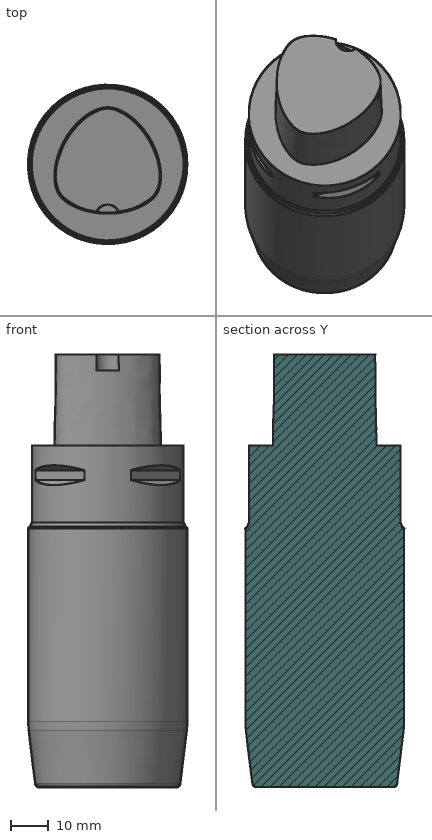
import cadquery as cq
import math

total_height = 114.0
body_radius = 42.0 / 2
flange_radius = 40.0 / 2
shank_height = 23.9
flange_top = total_height - shank_height

step_cone_top = 69.8
step_z = 68.7
step_chamfer = 0.6
body_top_radius = body_radius - step_chamfer
body_chamfer_z = step_z - step_chamfer

blend_top = 17.3
taper_angle = math.radians(7.0)
blend_radius = 19.4
nose_corner_radius = 1.3

shank_base_radius = 14.0
shank_top_radius = 13.7
lobe_offset = 1.0

notch_radius = 3.2
notch_center_y = -13.8
notch_depth = 4.2

groove_count = 4
groove_z = 82.2
groove_floor_distance = 17.8
groove_floor_height = 2.5
groove_mouth_height = 5.2


def make_body():
    """Revolve the nose, body and flange about Z."""
    blend_center_r = body_radius - blend_radius

    def blend_point(angle):
        return (
            blend_center_r + blend_radius * math.cos(angle),
            blend_top - blend_radius * math.sin(angle),
        )

    taper_start = blend_point(taper_angle)
    taper_end_radius = taper_start[0] - taper_start[1] * math.tan(taper_angle)
    return (
        cq.Workplane("XZ")
        .lineTo(taper_end_radius, 0)
        .lineTo(*taper_start)
        .threePointArc(blend_point(taper_angle / 2), (body_radius, blend_top))
        .lineTo(body_radius, body_chamfer_z)
        .lineTo(body_top_radius, step_z)
        .lineTo(flange_radius, step_cone_top)
        .lineTo(flange_radius, flange_top)
        .lineTo(0, flange_top)
        .close()
        .revolve(360, (0, 0), (0, 1))
        .faces("<Z")
        .edges()
        .fillet(nose_corner_radius)
    )


def lobed_point(mean_radius, angle):
    """Point on a three-lobed curve of constant width, with one lobe toward +Y."""
    reach = mean_radius + lobe_offset * math.cos(3 * angle)
    slope = -3 * lobe_offset * math.sin(3 * angle)
    along = reach * math.cos(angle) - slope * math.sin(angle)
    across = reach * math.sin(angle) + slope * math.cos(angle)
    return (-across, along)


def make_shank():
    """Loft the lobed section from the flange face to the top."""
    points_per_lobe = 12
    point_count = 3 * points_per_lobe
    angles = [2 * math.pi * i / point_count for i in range(point_count)]
    return (
        cq.Workplane("XY", origin=(0, 0, flange_top))
        .spline([lobed_point(shank_base_radius, a) for a in angles], periodic=True)
        .close()
        .workplane(offset=shank_height)
        .spline([lobed_point(shank_top_radius, a) for a in angles], periodic=True)
        .close()
        .loft(ruled=True)
    )


def make_notch():
    """Round driver notch in the flat side facing -Y."""
    return (
        cq.Workplane("XY", origin=(0, notch_center_y, total_height - notch_depth))
        .circle(notch_radius)
        .extrude(notch_depth)
    )


def make_groove(direction):
    """Straight groove with sloping walls, cut toward the given angle in degrees."""
    half_floor = groove_floor_height / 2
    half_mouth = groove_mouth_height / 2
    return (
        cq.Workplane("XZ", origin=(0, 0, groove_z))
        .moveTo(groove_floor_distance, -half_floor)
        .lineTo(flange_radius, -half_mouth)
        .lineTo(flange_radius, half_mouth)
        .lineTo(groove_floor_distance, half_floor)
        .close()
        .extrude(flange_radius, both=True)
        .rotate((0, 0, 0), (0, 0, 1), direction)
    )


result = make_body().union(make_shank()).cut(make_notch())
for index in range(groove_count):
    result = result.cut(make_groove((index + 0.5) * 360 / groove_count))